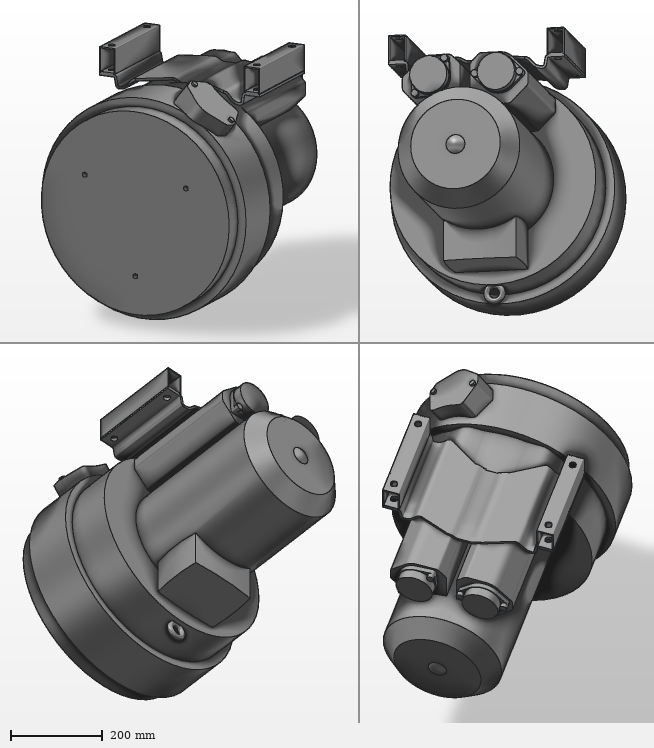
import math

import cadquery as cq

BODY_RADIUS = 230
BAND_RADIUS = 250
BAND_FRONT = 42
BAND_REAR = 158
BODY_REAR = 261
MOUNT_HOLE_CIRCLE = 143
MOUNT_HOLE_DIAMETER = 11
MOUNT_HOLE_DEPTH = 20
MOUNT_HOLE_ANGLES = (30, 150, 270)

MOTOR_RADIUS = 136
MOTOR_END_RADIUS = 100
MOTOR_SHOULDER = 609
MOTOR_REAR = 644.5
HUB_RADIUS = 21
OVERALL_LENGTH = 651.5

HOUSING_REAR = 545.5
HOUSING_INNER_X = 11
HOUSING_OUTER_X = 140.5
HOUSING_BOTTOM = 109
HOUSING_TOP = 225
HOUSING_OUTER_BEVEL = 46.5
HOUSING_INNER_BEVEL = 21.5
HOUSING_LOWER_BEVEL = 40
HOUSING_BIG_ROUND = 40
HOUSING_SMALL_ROUND = 12

CAP_X = 75.5
CAP_Z = 175
CAP_DISC_RADIUS = 41.5
CAP_FLANGE_RADIUS = 43
CAP_FLANGE_THICKNESS = 11
CAP_LENGTH = 32
LUG_OFFSET = 50
LUG_RADIUS = 8
LUG_HEIGHT = 21
LEFT_CAP_ANGLE = 0
RIGHT_CAP_ANGLE = 131

SHEET = 6
BRACKET_TOP = 300
TUBE_OUTER_X = 196.5
TUBE_WIDTH = 39
TUBE_WALL = 3
TUBE_CORNER = 2.5
TUBE_BOTTOM = 241
BRACKET_FRONT = 213.5
BRACKET_REAR = 429.5
SADDLE_FRONT = 258
SADDLE_REAR = 455
SADDLE_HALF_WIDTH = 39
SADDLE_SHOULDER_X = 108

TROUGH_HALF_WIDTH = 17.5
TROUGH_Z = 226.5
SADDLE_INNER_X = 34
SADDLE_OUTER_X = 113.5
SADDLE_Z = 235.5
GUTTER_INNER_X = 134
GUTTER_OUTER_X = 153
GUTTER_Z = 213
FLANGE_INNER_X = 157
BEND_RADII = [18, 18, 15, 28, 7, 6]

BRACKET_HOLE_X = 177.5
BRACKET_HOLE_DIAMETER = 15
BRACKET_HOLE_INSET = 23

PORT_TILT = 38
PORT_FACE_DISTANCE = 284.5
PORT_SIDE_OFFSET = -37.5
PORT_DEPTH = 100
PORT_REAR = 139.4
PORT_NOTCH_HALF_WIDTH = 35
PORT_NOTCH_DEPTH = 4.4
PORT_REAR_HALF_WIDTH = 46.5
PORT_HALF_WIDTH = 69.5
PORT_CHEEK_HALF_WIDTH = 61
PORT_CHEEK_Y = 59
PORT_CHIN_Y = 28.5
PORT_ROUNDS = [11, 15, 10]
PORT_CHIN_ROUND = 43
PORT_SCREW_OFFSET = 57
PORT_SCREW_Y = 85
PORT_SCREW_RADIUS = 6.5
PORT_SCREW_HEIGHT = 5

BOX_FRONT = 268.8
BOX_REAR = 398.2
BOX_BOTTOM = -201.5
BOX_EDGE_HALF_WIDTH = 81
BOX_BULGE = 4
PAD_FRONT = 267
PAD_BOTTOM = -151.5
PAD_WIDTH = 40

EYE_Y = 243.6
EYE_BOTTOM = -269.31
EYE_OUTER_RADIUS = 24
EYE_WIRE_RADIUS = 6.5


def along_y(y_start):
    """Workplane in X and Z at a given Y, extruding toward +Y."""
    return cq.Workplane(cq.Plane((0, y_start, 0), (-1, 0, 0), (0, 1, 0)))


def xz(points):
    """Map (x, z) points into the coordinates of an along_y workplane."""
    return [(-x, z) for x, z in points]


def rounded_path(plane, points, radii):
    """Open path through the points, each inner corner rounded by a tangent arc."""
    path = plane.moveTo(*points[0])
    for before, corner, after, radius in zip(points, points[1:], points[2:], radii):
        to_before = cq.Vector(*before) - cq.Vector(*corner)
        to_after = cq.Vector(*after) - cq.Vector(*corner)
        half_angle = to_before.getAngle(to_after) / 2
        reach = radius / math.tan(half_angle)
        arc_start = cq.Vector(*corner) + to_before.normalized() * reach
        arc_end = cq.Vector(*corner) + to_after.normalized() * reach
        bisector = (to_before.normalized() + to_after.normalized()).normalized()
        arc_middle = cq.Vector(*corner) + bisector * (radius / math.sin(half_angle) - radius)
        path = path.lineTo(arc_start.x, arc_start.y)
        path = path.threePointArc((arc_middle.x, arc_middle.y), (arc_end.x, arc_end.y))
    return path.lineTo(*points[-1])


def make_body():
    hub_height = OVERALL_LENGTH - MOTOR_REAR
    hub_sphere = (HUB_RADIUS**2 + hub_height**2) / (2 * hub_height)
    half_angle = math.asin(HUB_RADIUS / hub_sphere) / 2
    hub_middle = (
        hub_sphere * math.sin(half_angle),
        OVERALL_LENGTH - hub_sphere * (1 - math.cos(half_angle)),
    )
    body = (
        cq.Workplane("XY")
        .lineTo(BODY_RADIUS, 0)
        .lineTo(BODY_RADIUS, BAND_FRONT)
        .lineTo(BAND_RADIUS, BAND_FRONT)
        .lineTo(BAND_RADIUS, BAND_REAR)
        .lineTo(BODY_RADIUS, BAND_REAR)
        .lineTo(BODY_RADIUS, BODY_REAR)
        .lineTo(MOTOR_RADIUS, BODY_REAR)
        .lineTo(MOTOR_RADIUS, MOTOR_SHOULDER)
        .lineTo(MOTOR_END_RADIUS, MOTOR_REAR)
        .lineTo(HUB_RADIUS, MOTOR_REAR)
        .threePointArc(hub_middle, (0, OVERALL_LENGTH))
        .close()
        .revolve(360, (0, 0, 0), (0, 1, 0))
    )
    centres = [
        (
            MOUNT_HOLE_CIRCLE * math.cos(math.radians(angle)),
            MOUNT_HOLE_CIRCLE * math.sin(math.radians(angle)),
        )
        for angle in MOUNT_HOLE_ANGLES
    ]
    holes = along_y(0).pushPoints(xz(centres)).circle(MOUNT_HOLE_DIAMETER / 2).extrude(MOUNT_HOLE_DEPTH)
    return body.cut(holes)


def make_housing():
    """Rounded housing on the +X side; its inner wall runs down into the motor."""
    mid_x = (HOUSING_INNER_X + HOUSING_OUTER_X) / 2
    points = [
        (HOUSING_INNER_X, HOUSING_BOTTOM),
        (HOUSING_INNER_X, HOUSING_TOP - HOUSING_INNER_BEVEL),
        (HOUSING_INNER_X + HOUSING_INNER_BEVEL, HOUSING_TOP),
        (HOUSING_OUTER_X - HOUSING_OUTER_BEVEL, HOUSING_TOP),
        (HOUSING_OUTER_X, HOUSING_TOP - HOUSING_OUTER_BEVEL),
        (HOUSING_OUTER_X, HOUSING_BOTTOM + HOUSING_LOWER_BEVEL),
        (HOUSING_OUTER_X - HOUSING_LOWER_BEVEL, HOUSING_BOTTOM),
        (mid_x, HOUSING_BOTTOM),
    ]
    small = HOUSING_SMALL_ROUND
    radii = [small, small, HOUSING_BIG_ROUND, small, small, small]
    outline = rounded_path(along_y(BAND_REAR), xz(points), radii).close()
    return outline.extrude(HOUSING_REAR - BAND_REAR)


def make_cap(x, lug_angle):
    """Round cap on a two-lug flange, the lugs lying at lug_angle from the X axis."""
    plane = cq.Workplane(cq.Plane((x, HOUSING_REAR, CAP_Z), (-1, 0, 0), (0, 1, 0)))
    tangent_angle = math.acos((CAP_FLANGE_RADIUS - LUG_RADIUS) / LUG_OFFSET)
    cosine = math.cos(tangent_angle)
    sine = math.sin(tangent_angle)
    disc_x = CAP_FLANGE_RADIUS * cosine
    disc_y = CAP_FLANGE_RADIUS * sine
    lug_x = LUG_OFFSET + LUG_RADIUS * cosine
    lug_y = LUG_RADIUS * sine
    lug_tip = LUG_OFFSET + LUG_RADIUS
    flange = (
        plane.moveTo(disc_x, disc_y)
        .threePointArc((0, CAP_FLANGE_RADIUS), (-disc_x, disc_y))
        .lineTo(-lug_x, lug_y)
        .threePointArc((-lug_tip, 0), (-lug_x, -lug_y))
        .lineTo(-disc_x, -disc_y)
        .threePointArc((0, -CAP_FLANGE_RADIUS), (disc_x, -disc_y))
        .lineTo(lug_x, -lug_y)
        .threePointArc((lug_tip, 0), (lug_x, lug_y))
        .close()
        .extrude(CAP_FLANGE_THICKNESS)
    )
    disc = plane.circle(CAP_DISC_RADIUS).extrude(CAP_LENGTH)
    lugs = plane.pushPoints([(-LUG_OFFSET, 0), (LUG_OFFSET, 0)]).circle(LUG_RADIUS).extrude(LUG_HEIGHT)
    cap = flange.union(disc).union(lugs)
    return cap.rotate((x, 0, CAP_Z), (x, 1, CAP_Z), -lug_angle)


def make_bracket_sheet():
    """Bent sheet swept along its centreline, then trimmed to its plan outline."""
    flange_z = TUBE_BOTTOM - SHEET / 2
    right_half = [
        (TROUGH_HALF_WIDTH, TROUGH_Z),
        (SADDLE_INNER_X, SADDLE_Z),
        (SADDLE_OUTER_X, SADDLE_Z),
        (GUTTER_INNER_X, GUTTER_Z),
        (GUTTER_OUTER_X, GUTTER_Z),
        (FLANGE_INNER_X, flange_z),
        (TUBE_OUTER_X, flange_z),
    ]
    left_half = [(-x, z) for x, z in reversed(right_half)]
    path = rounded_path(cq.Workplane("XZ"), left_half + right_half, BEND_RADII[::-1] + BEND_RADII)
    depth = SADDLE_REAR - BRACKET_FRONT
    strip = (
        cq.Workplane("YZ", origin=(-TUBE_OUTER_X, 0, 0))
        .center((SADDLE_REAR + BRACKET_FRONT) / 2, flange_z)
        .rect(depth, SHEET)
        .sweep(path)
    )
    half_plan = [
        (SADDLE_HALF_WIDTH, SADDLE_REAR),
        (SADDLE_SHOULDER_X, BRACKET_REAR),
        (TUBE_OUTER_X, BRACKET_REAR),
        (TUBE_OUTER_X, BRACKET_FRONT),
        (SADDLE_SHOULDER_X, BRACKET_FRONT),
        (SADDLE_HALF_WIDTH, SADDLE_FRONT),
    ]
    mirrored_plan = [(-x, y) for x, y in reversed(half_plan)]
    plan = cq.Workplane("XY").polyline(half_plan + mirrored_plan).close().extrude(BRACKET_TOP)
    return strip.intersect(plan)


def make_bracket():
    length = BRACKET_REAR - BRACKET_FRONT
    height = BRACKET_TOP - TUBE_BOTTOM
    tube_x = TUBE_OUTER_X - TUBE_WIDTH / 2
    bracket = make_bracket_sheet()
    for x in (-tube_x, tube_x):
        seat = along_y(BRACKET_FRONT).center(-x, TUBE_BOTTOM + height / 2)
        tube = seat.rect(TUBE_WIDTH, height).extrude(length).edges("|Y").fillet(TUBE_CORNER)
        bore = seat.rect(TUBE_WIDTH - 2 * TUBE_WALL, height - 2 * TUBE_WALL).extrude(length)
        bracket = bracket.union(tube.cut(bore))
    hole_ys = (BRACKET_FRONT + BRACKET_HOLE_INSET, BRACKET_REAR - BRACKET_HOLE_INSET)
    centres = [(x, y) for x in (-BRACKET_HOLE_X, BRACKET_HOLE_X) for y in hole_ys]
    hole_bottom = TUBE_BOTTOM - 2 * SHEET
    holes = (
        cq.Workplane("XY", origin=(0, 0, hole_bottom))
        .pushPoints(centres)
        .circle(BRACKET_HOLE_DIAMETER / 2)
        .extrude(BRACKET_TOP - hole_bottom)
    )
    return bracket.cut(holes)


def make_port():
    """Shield-shaped port whose axis leans from +Z toward +X."""
    sine = math.sin(math.radians(PORT_TILT))
    cosine = math.cos(math.radians(PORT_TILT))
    origin = (
        PORT_FACE_DISTANCE * sine + PORT_SIDE_OFFSET * cosine,
        0,
        PORT_FACE_DISTANCE * cosine - PORT_SIDE_OFFSET * sine,
    )
    face = cq.Workplane(cq.Plane(origin, (cosine, 0, -sine), (sine, 0, cosine)))
    half_outline = [
        (PORT_NOTCH_HALF_WIDTH, PORT_REAR),
        (PORT_REAR_HALF_WIDTH, PORT_REAR),
        (PORT_HALF_WIDTH, PORT_SCREW_Y),
        (PORT_CHEEK_HALF_WIDTH, PORT_CHEEK_Y),
    ]
    mirrored_outline = [(-x, y) for x, y in reversed(half_outline)]
    points = half_outline + [(0, PORT_CHIN_Y)] + mirrored_outline
    radii = PORT_ROUNDS + [PORT_CHIN_ROUND] + PORT_ROUNDS[::-1]
    shield = (
        rounded_path(face, points, radii)
        .threePointArc((0, PORT_REAR - PORT_NOTCH_DEPTH), points[0])
        .close()
        .extrude(-PORT_DEPTH)
    )
    band_cylinder = along_y(0).circle(BAND_RADIUS).extrude(BAND_REAR)
    screw_centres = [(-PORT_SCREW_OFFSET, PORT_SCREW_Y), (PORT_SCREW_OFFSET, PORT_SCREW_Y)]
    screws = face.pushPoints(screw_centres).circle(PORT_SCREW_RADIUS).extrude(PORT_SCREW_HEIGHT)
    return shield.cut(band_cylinder).union(screws)


def make_terminal_box():
    mid_y = (BOX_FRONT + BOX_REAR) / 2
    edge = BOX_EDGE_HALF_WIDTH
    side = edge + BOX_BULGE
    front_corner = BOX_FRONT + BOX_BULGE
    rear_corner = BOX_REAR - BOX_BULGE
    box = (
        cq.Workplane("XY", origin=(0, 0, BOX_BOTTOM))
        .moveTo(-edge, front_corner)
        .threePointArc((0, BOX_FRONT), (edge, front_corner))
        .threePointArc((side, mid_y), (edge, rear_corner))
        .threePointArc((0, BOX_REAR), (-edge, rear_corner))
        .threePointArc((-side, mid_y), (-edge, front_corner))
        .close()
        .extrude(-BOX_BOTTOM)
    )
    pad = (
        cq.Workplane("XY", origin=(0, 0, PAD_BOTTOM))
        .center(0, (PAD_FRONT + mid_y) / 2)
        .rect(PAD_WIDTH, mid_y - PAD_FRONT)
        .extrude(-PAD_BOTTOM)
    )
    return box.union(pad)


def make_lifting_eye():
    ring_radius = EYE_OUTER_RADIUS - EYE_WIRE_RADIUS
    centre_z = EYE_BOTTOM + EYE_OUTER_RADIUS
    eye = cq.Solid.makeTorus(
        ring_radius, EYE_WIRE_RADIUS, cq.Vector(0, EYE_Y, centre_z), cq.Vector(0, 1, 0)
    )
    return cq.Workplane(eye)


right_housing = make_housing()
result = make_body()
result = result.union(right_housing).union(right_housing.mirror("YZ"))
result = result.union(make_cap(-CAP_X, LEFT_CAP_ANGLE)).union(make_cap(CAP_X, RIGHT_CAP_ANGLE))
result = result.union(make_bracket())
result = result.union(make_port())
result = result.union(make_terminal_box())
result = result.union(make_lifting_eye())